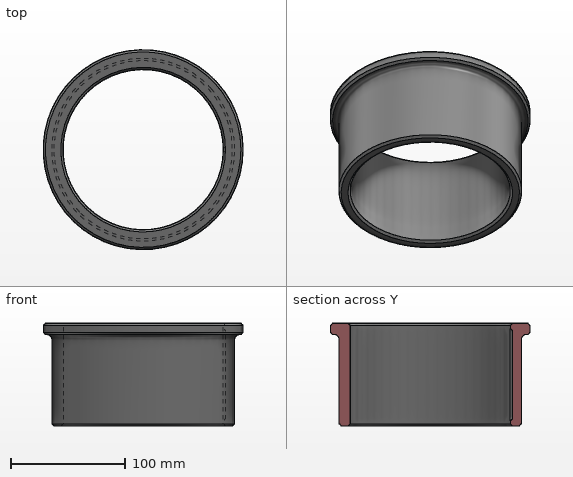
import cadquery as cq

bore_diameter = 140.0
sleeve_diameter = 160.0
flange_diameter = 175.0
height = 90.0
flange_thickness = 10.0

edge_chamfer = 2.0
neck_fillet = 4.5

groove_cutter_diameter = 4.5
groove_depth = 2.0
groove_end_margin = 5.0

bore_radius = bore_diameter / 2
sleeve_radius = sleeve_diameter / 2
flange_radius = flange_diameter / 2
groove_radius = groove_cutter_diameter / 2
groove_axis_offset = bore_radius + groove_depth - groove_radius
flange_underside = height - flange_thickness


def bush_body():
    """Revolved section: sleeve, filleted neck, chamfered flange and bore."""
    section = (
        cq.Workplane("XZ")
        .moveTo(bore_radius + edge_chamfer, 0)
        .lineTo(sleeve_radius - edge_chamfer, 0)
        .lineTo(sleeve_radius, edge_chamfer)
        .lineTo(sleeve_radius, flange_underside - neck_fillet)
        .radiusArc((sleeve_radius + neck_fillet, flange_underside), neck_fillet)
        .lineTo(flange_radius - edge_chamfer, flange_underside)
        .lineTo(flange_radius, flange_underside + edge_chamfer)
        .lineTo(flange_radius, height - edge_chamfer)
        .lineTo(flange_radius - edge_chamfer, height)
        .lineTo(bore_radius + edge_chamfer, height)
        .lineTo(bore_radius, height - edge_chamfer)
        .lineTo(bore_radius, edge_chamfer)
        .close()
    )
    return section.revolve(360, (0, 0, 0), (0, 1, 0))


def groove_cutter():
    """Upright round bar with hemispherical ends, stopping short of both end faces."""
    bar_bottom = groove_end_margin
    bar_top = height - groove_end_margin
    half_section = (
        cq.Workplane("XZ")
        .moveTo(0, bar_bottom)
        .radiusArc((groove_radius, bar_bottom + groove_radius), -groove_radius)
        .lineTo(groove_radius, bar_top - groove_radius)
        .radiusArc((0, bar_top), -groove_radius)
        .close()
    )
    bar = half_section.revolve(360, (0, 0, 0), (0, 1, 0))
    return bar.translate((groove_axis_offset, 0, 0))


result = bush_body().cut(groove_cutter())